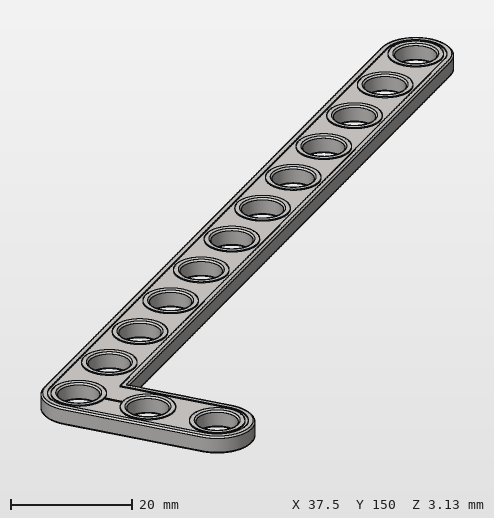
import cadquery as cq
import math

pitch = 12.5
long_arm_holes = 12
short_arm_holes = 3
hole_diameter = 7.0

arm_width = pitch
thickness = pitch / 4
edge_chamfer = 0.3

hole_rim_diameter = 9.2
rim_width = (hole_rim_diameter - hole_diameter) / 2
recess_depth = 0.2

rib_width = 0.05

long_span = (long_arm_holes - 1) * pitch
short_span = (short_arm_holes - 1) * pitch


def hole_positions():
    """Centres of all holes; the corner hole, at the origin, is shared by both arms."""
    long_arm = [(0, row * pitch) for row in range(long_arm_holes)]
    short_arm = [(column * pitch, 0) for column in range(1, short_arm_holes)]
    return long_arm + short_arm


def make_perforated_slab(inset, bottom, height):
    """L-shaped slab with rounded ends and outer corner; its outline and bores are set back by inset."""
    radius = arm_width / 2 - inset
    corner_reach = radius * math.sqrt(0.5)
    base = cq.Workplane("XY", origin=(0, 0, bottom))
    slab = (
        base.moveTo(-radius, 0)
        .lineTo(-radius, long_span)
        .threePointArc((0, long_span + radius), (radius, long_span))
        .lineTo(radius, radius)
        .lineTo(short_span, radius)
        .threePointArc((short_span + radius, 0), (short_span, -radius))
        .lineTo(0, -radius)
        .threePointArc((-corner_reach, -corner_reach), (-radius, 0))
        .close()
        .extrude(height)
    )
    bores = base.pushPoints(hole_positions()).circle(hole_diameter / 2 + inset).extrude(height)
    return slab.cut(bores)


def make_plate():
    """Perforated plate with the outline and all holes chamfered on both faces."""
    return make_perforated_slab(0, 0, thickness).faces("<Z or >Z").chamfer(edge_chamfer)


def make_recess():
    """Cutter for the top recess, divided by the rib."""
    floor = thickness - recess_depth
    rib = (
        cq.Workplane("XY", origin=(pitch / 2, 0, floor))
        .rect(pitch - hole_diameter, rib_width)
        .extrude(recess_depth)
    )
    return make_perforated_slab(rim_width, floor, recess_depth).cut(rib)


result = make_plate().cut(make_recess())